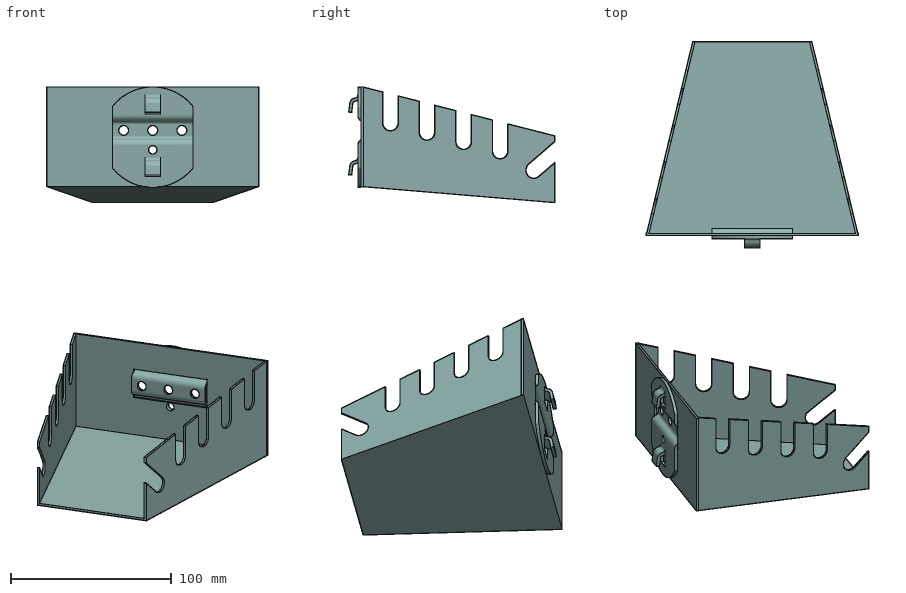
import cadquery as cq
import math

panel_width = 132.1
panel_height = 62.0
sheet = 1.5
depth = 120.6
back_width = 74.2
back_bottom_z = -10.0
back_top_z = 31.5

slot_radius = 5.0
slot_count = 4
first_slot = 19.0
slot_pitch = 23.4
first_slot_z = 39.8
tilted_slot_inset = 13.3
tilted_slot_z = 10.2
tilted_slot_tilt = 50.0

plate = 2.0
bracket_height = 62.5
corner_span = 38.3
bracket_width = 50.0
corner_radius = 2.0
bend_radius = 2.0
bend_gap = 0.3
channel_angle = 74.0
channel_top = 17.7
channel_bottom = 36.3

channel_hole_diameter = 6.0
channel_hole_pitch = 18.1
channel_hole_drop = (channel_top + channel_bottom) / 2
screw_hole_diameter = 5.0
screw_hole_drop = 39.1

window_width = 9.8
window_height = 11.9
window_drops = (4.9, 43.8)
hook_angle = 79.0
hook_lean = 7.0
hook_leg = 5.4

through = 13.2
bracket_center_z = panel_height - bracket_height / 2
plate_mid_y = -plate / 2
bend_mid_radius = bend_radius + plate / 2
wall_run = (panel_width - back_width) / 2
wall_length = math.hypot(wall_run, depth)
top_edge_slope = (panel_height - back_top_z) / (depth - sheet)
slot_drop = top_edge_slope * slot_pitch * depth / wall_length


def box(width, y_range, z_range):
    """Box centred on X between the given Y and Z limits."""
    y0, y1 = y_range
    z0, z1 = z_range
    return cq.Workplane("XY").box(width, y1 - y0, z1 - z0).translate((0, (y0 + y1) / 2, (z0 + z1) / 2))


def footprint(inset):
    """Tall prism on the tray's trapezoid plan, narrowed by inset on each side."""
    front = panel_width / 2 - inset
    back = back_width / 2 - inset
    plan = cq.Workplane("XY").workplane(offset=back_bottom_z)
    plan = plan.polyline([(-front, 0), (front, 0), (back, depth), (-back, depth)]).close()
    return plan.extrude(panel_height - back_bottom_z)


def side_profile(points):
    """Prism across the full width with a (Y, Z) outline."""
    return cq.Workplane("YZ").polyline(points).close().extrude(panel_width / 2, both=True)


def make_tray():
    outside = side_profile([
        (0, 0),
        (depth, back_bottom_z),
        (depth, back_top_z),
        (sheet, panel_height),
        (0, panel_height),
    ])
    floor_fall = back_bottom_z / depth
    inside = side_profile([
        (sheet, sheet + floor_fall * sheet),
        (depth, sheet + back_bottom_z),
        (depth, panel_height),
        (sheet, panel_height),
    ])
    wall_inset = sheet * wall_length / depth
    tray = outside.intersect(footprint(0)).cut(inside.intersect(footprint(wall_inset)))
    return tray.union(box(panel_width, (0, sheet), (0, panel_height)))


def slot_cutter(wall_plane, s, z, tilt):
    """Round-bottomed slot, open upward, tilted toward the back by tilt degrees."""
    reach = panel_height
    slot = (
        cq.Workplane("XY")
        .moveTo(-slot_radius, reach)
        .lineTo(-slot_radius, 0)
        .threePointArc((0, -slot_radius), (slot_radius, 0))
        .lineTo(slot_radius, reach)
        .close()
        .extrude(2 * sheet, both=True)
        .rotate((0, 0, 0), (0, 0, 1), -tilt)
        .translate((s, z, 0))
    )
    return cq.Workplane(obj=slot.val().moved(cq.Location(wall_plane)))


def cut_wall_slots(tray):
    wall_plane = cq.Plane(
        origin=(panel_width / 2, 0, 0),
        xDir=(-wall_run, depth, 0),
        normal=(depth, wall_run, 0),
    )
    tilted_slot_s = wall_length - tilted_slot_inset
    cutters = [slot_cutter(wall_plane, tilted_slot_s, tilted_slot_z, tilted_slot_tilt)]
    for i in range(slot_count):
        s = first_slot + i * slot_pitch
        cutters.append(slot_cutter(wall_plane, s, first_slot_z - i * slot_drop, 0))
    for cutter in cutters:
        tray = tray.cut(cutter).cut(cutter.mirror("YZ"))
    return tray


def bent_strip(start, moves, width):
    """Strip of plate thickness that starts at (Y, Z) heading down and follows the moves.

    A move is ("line", length) or ("bend", degrees); a positive bend turns toward +Y.
    """
    def side_point(station, side):
        (y, z), heading = station
        offset = side * plate / 2
        return (y - offset * math.sin(heading), z + offset * math.cos(heading))

    def advance(station, kind, amount):
        (y, z), heading = station
        if kind == "line":
            turn = 0
            chord = amount
        else:
            turn = math.radians(amount)
            chord = 2 * bend_mid_radius * math.sin(abs(turn) / 2)
        direction = heading + turn / 2
        return (y + chord * math.cos(direction), z + chord * math.sin(direction)), heading + turn

    def draw_edge(outline, kind, middle, end, side):
        if kind == "line":
            return outline.lineTo(*side_point(end, side))
        return outline.threePointArc(side_point(middle, side), side_point(end, side))

    stations = [(start, -math.pi / 2)]
    middles = []
    for kind, amount in moves:
        middles.append(advance(stations[-1], kind, amount / 2))
        stations.append(advance(stations[-1], kind, amount))

    outline = cq.Workplane("YZ").moveTo(*side_point(stations[0], 1))
    for i, (kind, _) in enumerate(moves):
        outline = draw_edge(outline, kind, middles[i], stations[i + 1], 1)
    outline = outline.lineTo(*side_point(stations[-1], -1))
    for i in reversed(range(len(moves))):
        outline = draw_edge(outline, moves[i][0], middles[i], stations[i], -1)
    return outline.close().extrude(width / 2, both=True)


def make_bracket():
    slope = math.radians(channel_angle)
    ramp_height = 2 * bend_mid_radius * math.sin(slope) + bend_gap * math.cos(slope)
    strip = bent_strip(
        (plate_mid_y, panel_height),
        [
            ("line", channel_top),
            ("bend", channel_angle),
            ("line", bend_gap),
            ("bend", -channel_angle),
            ("line", channel_bottom - channel_top - 2 * ramp_height),
            ("bend", -channel_angle),
            ("line", bend_gap),
            ("bend", channel_angle),
            ("line", bracket_height - channel_bottom),
        ],
        bracket_width,
    )
    half_width = bracket_width / 2
    half_height = bracket_height / 2
    half_span = corner_span / 2
    outline = (
        cq.Workplane("XZ", origin=(0, 0, bracket_center_z))
        .moveTo(-half_width, -half_span)
        .threePointArc((0, -half_height), (half_width, -half_span))
        .lineTo(half_width, half_span)
        .threePointArc((0, half_height), (-half_width, half_span))
        .close()
        .extrude(through, both=True)
        .edges("|Y")
        .fillet(corner_radius)
    )
    return strip.intersect(outline)


def add_hooks(bracket):
    for drop in window_drops:
        top = panel_height - drop
        bracket = bracket.cut(box(window_width, (-plate, 0), (top - window_height, top)))
        hook = bent_strip(
            (plate_mid_y, top),
            [
                ("bend", -hook_angle),
                ("line", bend_gap),
                ("bend", hook_angle - hook_lean),
                ("line", hook_leg),
            ],
            window_width,
        )
        bracket = bracket.union(hook)
    return bracket


def hole(x, drop, diameter):
    axis = cq.Workplane("XZ", origin=(x, 0, panel_height - drop))
    return axis.circle(diameter / 2).extrude(through, both=True)


tray = cut_wall_slots(make_tray())
panel_opening = box(
    bracket_width,
    (0, sheet),
    (panel_height - channel_bottom, panel_height - channel_top),
)
result = tray.cut(panel_opening).union(add_hooks(make_bracket()))

for side in (-1, 0, 1):
    result = result.cut(hole(side * channel_hole_pitch, channel_hole_drop, channel_hole_diameter))
result = result.cut(hole(0, screw_hole_drop, screw_hole_diameter))